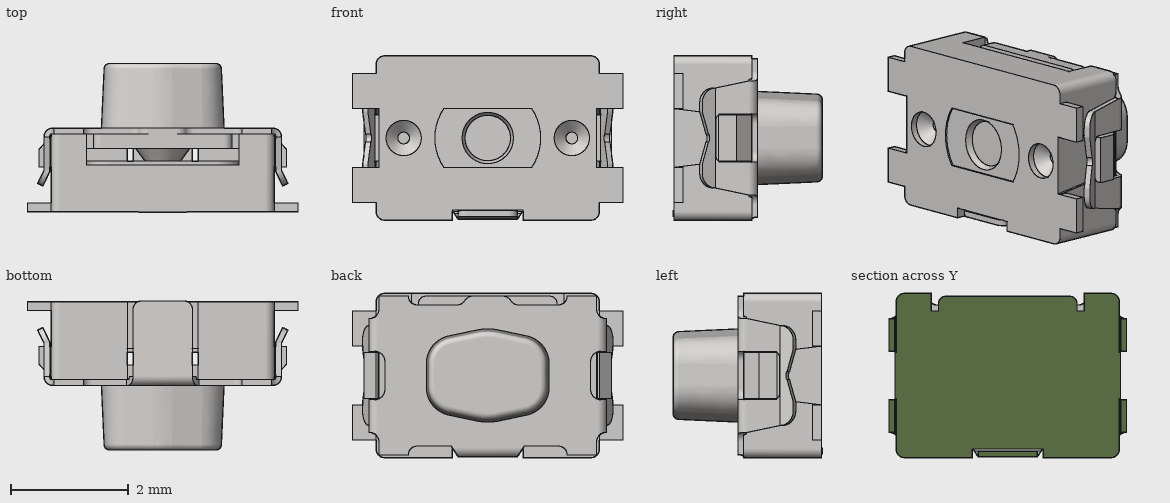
import cadquery as cq
import math


body_width = 3.8
body_height = 2.8
body_depth = 1.325
body_corner_radius = 0.15

lug_span = 4.6
lug_thickness = 0.15
lug_inner_z = 0.5
lug_outer_z = 1.1

sheet = 0.1
cover_back = body_depth + sheet
cover_half_width = 1.87
cover_half_height = 1.35
cover_relief_z = 1.2
relief_radius = cover_half_height - cover_relief_z
relief_outer_x = 1.2
tongue_half_width = 0.255
tongue_flank = 0.27

clip_outer_x = 2.02
cover_bend_radius = clip_outer_x - cover_half_width
clip_kink_y = 0.706
clip_gusset_z = 1.13
clip_bend_z = 0.97
clip_gusset_radius = clip_gusset_z - clip_bend_z
clip_kink_z = 0.85
clip_window_half = 0.41
clip_window_front = 0.715
clip_window_inner_x = 1.75
clip_window_radius = 0.17
clip_window_corner = 0.1
lip_angle = math.radians(26)
lip_length = 0.25
lip_notch_depth = 0.142
lip_flat_z = 0.45
lip_notch_blend_z = 0.07
lip_notch_blend = 0.025

tooth_half = 0.395
tooth_tip_x = 2.107
tooth_front = 0.76
tooth_ramp_front = 1.065
recess_depth = 0.05
recess_floor_x = body_width / 2 - recess_depth
recess_front_half = lug_inner_z
recess_back_half = 0.405

cavity_half_width = 1.297
cavity_floor = 0.8
cavity_bottom_z = -1.25
disc_thickness = 0.06
disc_top = cavity_floor + disc_thickness
disc_half_height = 1.2
disc_corner_radius = 0.4

flange_front = 1.075
flange_half_height = 1.1
nose_half_width = 1.18
nose_corner_radius = 0.13
button_back = 2.525
button_half_width = 1.045
button_half_height = 0.794
button_side_flat = 0.187
button_crown_half = 0.173
button_crown_edge_z = 0.777
button_shoulder_x = 0.68
button_shoulder_z = 0.67
button_draft = 2.6
button_edge_radius = 0.1
stem_root_radius = 0.46
stem_tip_radius = 0.3

notch_half_width = 0.603
notch_top_z = -1.228
hook_half_width = 0.505
hook_root_z = -1.385
hook_tip_z = -1.335
hook_tip_y = -0.015
hook_corner_radius = 0.145
hook_flare_half_width = 0.62

panel_radius = 0.9
panel_half_height = 0.505
panel_depth = 0.03
dimple_rim_radius = 0.436
dimple_floor_radius = 0.386
dimple_depth = 0.14
pit_x = 1.43
pit_radius = 0.3
pit_floor_radius = 0.1
pit_wall_depth = 0.12
pit_depth = 0.32


def box(x0, x1, y0, y1, z0, z1):
    return cq.Workplane("XY").box(x1 - x0, y1 - y0, z1 - z0, centered=False).translate((x0, y0, z0))


def face_plane(y):
    """Sketch plane at depth y with local axes X and Z; extrude(-d) runs along +Y."""
    return cq.Workplane("XZ", origin=(0, y, 0))


def both_sides(solid):
    return solid.union(solid.mirror("YZ"))


def round_frustum(x, y0, y1, r0, r1):
    near = face_plane(y0).center(x, 0).circle(r0)
    return near.workplane(offset=y0 - y1).circle(r1).loft()


def make_housing():
    """Rounded block with solder lugs, and a snap tooth in a tapered recess on each side."""
    housing = face_plane(0).rect(body_width, body_height).extrude(-body_depth)
    housing = housing.edges("|Y").fillet(body_corner_radius)

    recess = (
        cq.Workplane("YZ", origin=(recess_floor_x, 0, 0))
        .polyline([
            (0, -recess_front_half),
            (0, recess_front_half),
            (tooth_front, recess_back_half),
            (body_depth, tooth_half),
            (body_depth, -tooth_half),
            (tooth_front, -recess_back_half),
        ])
        .close()
        .extrude(recess_depth)
    )
    tooth = (
        cq.Workplane("XY", origin=(0, 0, -tooth_half))
        .polyline([
            (recess_floor_x, tooth_front),
            (tooth_tip_x, tooth_front),
            (tooth_tip_x, tooth_ramp_front),
            (recess_floor_x, body_depth),
        ])
        .close()
        .extrude(2 * tooth_half)
    )
    housing = housing.cut(both_sides(recess)).union(both_sides(tooth))

    lug_root = body_width / 2 - body_corner_radius
    lug_height = lug_outer_z - lug_inner_z
    for z0 in (lug_inner_z, -lug_outer_z):
        lug = box(lug_root, lug_span / 2, 0, lug_thickness, z0, z0 + lug_height)
        housing = housing.union(both_sides(lug))
    return housing


def make_cavity():
    """Chamber open at the top and back, with a notch through the bottom wall for the hook."""
    half_height = body_height / 2
    cavity = box(
        -cavity_half_width, cavity_half_width, cavity_floor, body_depth, cavity_bottom_z, half_height
    )
    notch = box(-notch_half_width, notch_half_width, 0, body_depth, -half_height, notch_top_z)
    return cavity.union(notch)


def make_contact_disc():
    disc = face_plane(cavity_floor).rect(2 * cavity_half_width, 2 * disc_half_height)
    return disc.extrude(-disc_thickness).edges("|Y").fillet(disc_corner_radius)


def make_cover_plate():
    """Flat plate with a top tongue and relieved top and bottom edges between its corners."""
    r = relief_radius
    corner_x = relief_outer_x + r
    flank_angle = 2 * math.atan(r / tongue_flank)
    flank_radius = tongue_flank / 2 / math.sin(flank_angle)
    flank_mid = (tongue_half_width + tongue_flank / 2, cover_half_height - r / 2)
    half_plate = (
        face_plane(body_depth)
        .moveTo(0, cover_half_height)
        .lineTo(tongue_half_width, cover_half_height)
        .radiusArc(flank_mid, flank_radius)
        .radiusArc((tongue_half_width + tongue_flank, cover_relief_z), -flank_radius)
        .lineTo(relief_outer_x, cover_relief_z)
        .radiusArc((corner_x, cover_half_height), -r)
        .lineTo(recess_floor_x, cover_half_height)
        .lineTo(recess_floor_x, -cover_half_height)
        .lineTo(corner_x, -cover_half_height)
        .radiusArc((relief_outer_x, -cover_relief_z), -r)
        .lineTo(0, -cover_relief_z)
        .close()
        .extrude(-sheet)
    )
    return both_sides(half_plate)


def make_clip_lip():
    """Flared end of a clip, with two rounded lobes and a blunt notch between them."""
    outward = cq.Vector(math.cos(lip_angle), math.sin(lip_angle), 0)
    lip_plane = cq.Plane(origin=(clip_outer_x, clip_kink_y, 0), xDir=(0, 0, 1), normal=outward)
    notch_s = lip_length - lip_notch_depth
    blend_s = notch_s + lip_notch_blend
    lobe_z = clip_kink_z - lip_length
    return (
        cq.Workplane(lip_plane)
        .moveTo(-clip_kink_z, 0)
        .lineTo(clip_kink_z, 0)
        .radiusArc((lobe_z, lip_length), -lip_length)
        .lineTo(lip_flat_z, lip_length)
        .lineTo(lip_notch_blend_z, blend_s)
        .threePointArc((0, notch_s), (-lip_notch_blend_z, blend_s))
        .lineTo(-lip_flat_z, lip_length)
        .lineTo(-lobe_z, lip_length)
        .radiusArc((-clip_kink_z, 0), -lip_length)
        .close()
        .extrude(-sheet)
    )


def make_clip():
    """Clip on the +X side: cover edge, bend, tapered wall and flared lip."""
    inner_x = clip_outer_x - sheet
    inner_radius = cover_bend_radius - sheet
    bend_y = cover_back - cover_bend_radius
    root_x = clip_window_inner_x
    strip = (
        cq.Workplane("XY", origin=(0, 0, -clip_gusset_z))
        .moveTo(root_x, cover_back)
        .lineTo(cover_half_width, cover_back)
        .radiusArc((clip_outer_x, bend_y), cover_bend_radius)
        .lineTo(clip_outer_x, clip_kink_y)
        .lineTo(clip_outer_x - sheet * math.cos(lip_angle), clip_kink_y - sheet * math.sin(lip_angle))
        .lineTo(inner_x, clip_kink_y - sheet * math.tan(lip_angle / 2))
        .lineTo(inner_x, bend_y)
        .radiusArc((cover_half_width, bend_y + inner_radius), -inner_radius)
        .lineTo(root_x, body_depth)
        .close()
        .extrude(2 * clip_gusset_z)
    )
    outline = (
        cq.Workplane("YZ")
        .polyline([
            (cover_back, clip_bend_z),
            (bend_y, clip_bend_z),
            (clip_kink_y, clip_kink_z),
            (clip_kink_y - sheet, clip_kink_z),
            (clip_kink_y - sheet, -clip_kink_z),
            (clip_kink_y, -clip_kink_z),
            (bend_y, -clip_bend_z),
            (cover_back, -clip_bend_z),
        ])
        .close()
        .extrude(lug_span)
    )
    gusset = (
        face_plane(bend_y)
        .moveTo(recess_floor_x, clip_gusset_z)
        .radiusArc((recess_floor_x + clip_gusset_radius, clip_bend_z), -clip_gusset_radius)
        .lineTo(recess_floor_x, clip_bend_z)
        .close()
        .extrude(-cover_bend_radius)
    )
    outline = outline.union(gusset).union(gusset.mirror("XY"))
    return strip.intersect(outline).union(make_clip_lip())


def make_clip_window():
    """Opening through the clip wall that runs round the bend into the cover plate."""
    x0 = clip_window_inner_x
    half = clip_window_half
    plate_part = box(x0, lug_span / 2, body_depth, cover_back, -half, half)
    plate_part = plate_part.edges("|Y and <X").fillet(clip_window_radius)
    wall_part = box(body_width / 2, lug_span / 2, clip_window_front, body_depth, -half, half)
    wall_part = wall_part.edges("|X and <Y").fillet(clip_window_corner)
    return plate_part.union(wall_part)


def make_hook():
    """Bottom tab of the cover: a flared root, a bend, and a leaning arm with a rounded tip."""
    outer_radius = cover_bend_radius
    inner_radius = outer_radius - sheet
    bend_y = cover_back - outer_radius
    bend_z = hook_root_z + outer_radius
    side = (
        cq.Workplane("YZ", origin=(-hook_flare_half_width, 0, 0))
        .moveTo(cover_back, -cover_relief_z)
        .lineTo(cover_back, bend_z)
        .radiusArc((bend_y, hook_root_z), outer_radius)
        .lineTo(hook_tip_y, hook_tip_z)
        .lineTo(hook_tip_y, hook_tip_z + sheet)
        .lineTo(bend_y, hook_root_z + sheet)
        .radiusArc((body_depth, bend_z), -inner_radius)
        .lineTo(body_depth, -cover_relief_z)
        .close()
        .extrude(2 * hook_flare_half_width)
    )
    arm = box(-hook_half_width, hook_half_width, hook_tip_y, cover_back, hook_root_z, -cover_relief_z)
    arm = arm.edges("|Z and <Y").fillet(hook_corner_radius)
    root = (
        face_plane(bend_y)
        .polyline([
            (-hook_flare_half_width, -cover_relief_z),
            (hook_flare_half_width, -cover_relief_z),
            (hook_half_width, hook_root_z),
            (-hook_half_width, hook_root_z),
        ])
        .close()
        .extrude(-outer_radius)
    )
    return side.intersect(arm.union(root))


def make_button():
    """Drafted cap with rounded corners, on a flange and stem that sit inside the cavity."""
    w, h = button_half_width, button_half_height
    flat_z = button_side_flat
    sx, sz = button_shoulder_x, button_shoulder_z
    cx, cz = button_crown_half, button_crown_edge_z
    shoulder_angle = math.atan2(sx - cx, cz - sz)
    mid_angle = shoulder_angle / 2
    bulge_x = (math.cos(mid_angle) - math.cos(shoulder_angle)) / (1 - math.cos(shoulder_angle))
    bulge_z = math.sin(mid_angle) / math.sin(shoulder_angle)
    mx = sx + (w - sx) * bulge_x
    mz = flat_z + (sz - flat_z) * bulge_z
    cap = (
        face_plane(cover_back)
        .moveTo(-cx, cz)
        .threePointArc((0, h), (cx, cz))
        .lineTo(sx, sz)
        .threePointArc((mx, mz), (w, flat_z))
        .lineTo(w, -flat_z)
        .threePointArc((mx, -mz), (sx, -sz))
        .lineTo(cx, -cz)
        .threePointArc((0, -h), (-cx, -cz))
        .lineTo(-sx, -sz)
        .threePointArc((-mx, -mz), (-w, -flat_z))
        .lineTo(-w, flat_z)
        .threePointArc((-mx, mz), (-sx, sz))
        .close()
        .extrude(-(button_back - cover_back), taper=button_draft)
        .faces(">Y")
        .edges()
        .fillet(button_edge_radius)
    )
    flange = box(
        -cavity_half_width, cavity_half_width, flange_front, body_depth, cavity_bottom_z, flange_half_height
    )
    nose = box(-nose_half_width, nose_half_width, flange_front, body_depth, 0, cover_half_height)
    nose = nose.edges("|Y and >Z").fillet(nose_corner_radius)
    stem = round_frustum(0, disc_top, flange_front, stem_tip_radius, stem_root_radius)
    return cap.union(flange).union(nose).union(stem)


def make_face_marks():
    """Shallow panel with a central dimple, and a conical pit on each side of it."""
    panel = face_plane(0).circle(panel_radius).extrude(-panel_depth)
    panel = panel.intersect(
        box(-panel_radius, panel_radius, 0, panel_depth, -panel_half_height, panel_half_height)
    )
    dimple = round_frustum(0, panel_depth, dimple_depth, dimple_rim_radius, dimple_floor_radius)
    pit = face_plane(0).center(pit_x, 0).circle(pit_radius).extrude(-pit_wall_depth)
    pit = pit.union(round_frustum(pit_x, pit_wall_depth, pit_depth, pit_radius, pit_floor_radius))
    return panel.union(dimple).union(both_sides(pit))


cover = make_cover_plate().union(both_sides(make_clip()))
cover = cover.cut(both_sides(make_clip_window())).union(make_hook())

result = (
    make_housing()
    .cut(make_cavity())
    .cut(make_face_marks())
    .union(make_contact_disc())
    .union(make_button())
    .union(cover)
)